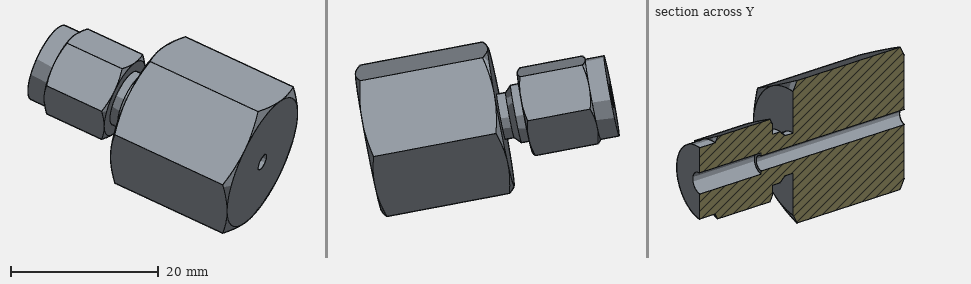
import cadquery as cq
import math

nut_start = 2.55
nut_end = 11.95
neck_cone_start = 13.15
body_start = 15.25
total_length = 33.5

body_flats = 19.1
nut_flats = 11.1
corner_chamfer_angle = 25.0

collar_diameter = nut_flats
shoulder_diameter = 7.97
neck_diameter = 6.25
neck_cone_end = neck_cone_start + (shoulder_diameter - neck_diameter) / 2

tube_socket_diameter = 3.2
tube_socket_depth = 10.05
bore_diameter = 2.28


def cylinder(diameter, start, end):
    """Round bar on the X axis between two stations."""
    return cq.Workplane("YZ", origin=(start, 0, 0)).circle(diameter / 2).extrude(end - start)


def chamfered_hexagon(flats, start, end):
    """Hexagonal bar on the X axis, both ends turned down conically to the flats."""
    corner_radius = flats / math.sqrt(3)
    flat_radius = flats / 2
    chamfer_length = (corner_radius - flat_radius) * math.tan(math.radians(corner_chamfer_angle))
    hexagon = (
        cq.Workplane("YZ", origin=(start, 0, 0))
        .polygon(6, 2 * corner_radius)
        .extrude(end - start)
        .rotate((0, 0, 0), (1, 0, 0), 90)
    )
    turned_envelope = (
        cq.Workplane("XY")
        .moveTo(start, 0)
        .lineTo(start, flat_radius)
        .lineTo(start + chamfer_length, corner_radius)
        .lineTo(end - chamfer_length, corner_radius)
        .lineTo(end, flat_radius)
        .lineTo(end, 0)
        .close()
        .revolve(360, (0, 0, 0), (1, 0, 0))
    )
    return hexagon.intersect(turned_envelope)


collar = cylinder(collar_diameter, 0, nut_start)
nut = chamfered_hexagon(nut_flats, nut_start, nut_end)

neck = (
    cq.Workplane("XY")
    .moveTo(nut_end, 0)
    .lineTo(nut_end, shoulder_diameter / 2)
    .lineTo(neck_cone_start, shoulder_diameter / 2)
    .lineTo(neck_cone_end, neck_diameter / 2)
    .lineTo(body_start, neck_diameter / 2)
    .lineTo(body_start, 0)
    .close()
    .revolve(360, (0, 0, 0), (1, 0, 0))
)

body = chamfered_hexagon(body_flats, body_start, total_length)

tube_socket = cylinder(tube_socket_diameter, 0, tube_socket_depth)
bore = cylinder(bore_diameter, 0, total_length)

result = collar.union(nut).union(neck).union(body).cut(tube_socket).cut(bore)